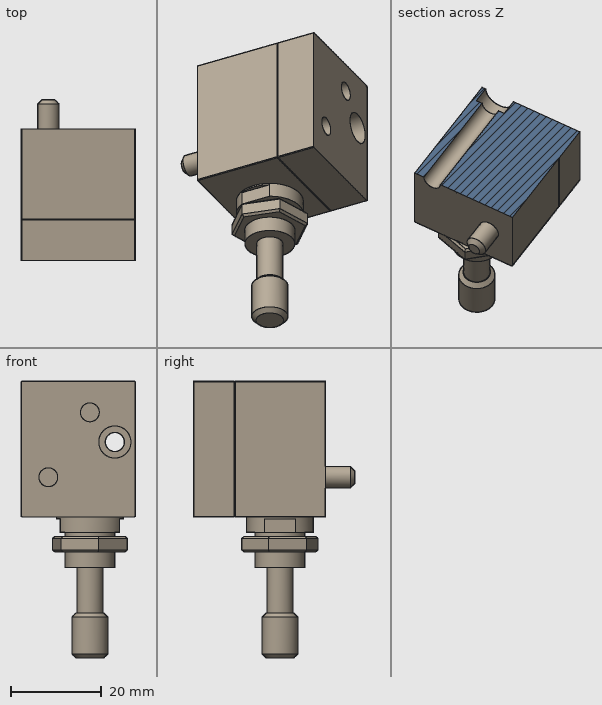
import cadquery as cq
import math


block_width = 25.2
block_depth = 29.05
block_height = 30.0
block_top = 61.15
block_bottom = block_top - block_height
block_left = -15.15
block_front = -19.0
block_back = block_front + block_depth
edge_chamfer = 0.2

groove_setback = 9.05
groove_depth = 0.1
groove_half_width = 0.1

hole_diameter = 4.15
blind_depth = 2.0
counterbore_diameter = 7.1
counterbore_depth = 4.0
upper_hole = (0.0, block_top - 6.9)
through_hole = (5.5, block_top - 13.45)
dowel_axis = (-9.2, block_top - 21.2)
dowel_diameter = 4.8
dowel_length = 6.5
dowel_chamfer = 1.0

collar_diameter = 14.8
collar_bottom = 27.75
flats_across = 13.1
flats_top = block_bottom - 0.35

shank_diameter = 11.0
shank_bottom = 20.0
stem_diameter = 5.8
head_diameter = 8.0
head_top = 10.0
head_chamfer = 1.0

nut_across_flats = 15.0
nut_bottom = 23.4
nut_thickness = 3.5
nut_bore = 11.2
nut_chamfer = 0.5
nut_turn = -17.0


def vertical_cylinder(diameter, bottom, top):
    """Cylinder on the plunger axis between two heights."""
    return cq.Workplane("XY").workplane(offset=bottom).circle(diameter / 2).extrude(top - bottom)


def bore(axis, diameter, depth):
    """Cylinder entering the front face at the (x, z) position of its axis."""
    x, z = axis
    return cq.Workplane(cq.Solid.makeCylinder(
        diameter / 2, depth, cq.Vector(x, block_front, z), cq.Vector(0, 1, 0)))


def make_groove():
    """Ring between the block outline and the V-groove cut into it, widest at the surface."""
    center_x = block_left + block_width / 2
    center_z = block_bottom + block_height / 2
    groove_y = block_front + groove_setback

    def half_core(direction):
        return (
            cq.Workplane("XZ", origin=(center_x, groove_y, center_z))
            .rect(block_width - 2 * groove_depth, block_height - 2 * groove_depth)
            .workplane(offset=-direction * groove_half_width)
            .rect(block_width, block_height)
            .loft(ruled=True)
        )

    slab = cq.Workplane("XY", origin=(center_x, groove_y, center_z)).box(
        block_width, 2 * groove_half_width, block_height)
    return slab.cut(half_core(1)).cut(half_core(-1))


def make_block():
    block = (
        cq.Workplane("XY", origin=(block_left, block_front, block_bottom))
        .box(block_width, block_depth, block_height, centered=False)
        .edges("|Y")
        .chamfer(edge_chamfer)
        .cut(make_groove())
    )
    for axis in (upper_hole, dowel_axis):
        block = block.cut(bore(axis, hole_diameter, blind_depth))
    block = block.cut(bore(through_hole, hole_diameter, block_depth))
    return block.cut(bore(through_hole, counterbore_diameter, counterbore_depth))


def make_dowel():
    x, z = dowel_axis
    return (
        cq.Workplane("XZ", origin=(x, block_back, z))
        .circle(dowel_diameter / 2)
        .extrude(-dowel_length)
        .faces(">Y")
        .chamfer(dowel_chamfer)
    )


def make_collar():
    collar = vertical_cylinder(collar_diameter, collar_bottom, block_bottom)
    flatted_zone = (
        cq.Workplane("XY")
        .workplane(offset=collar_bottom)
        .rect(flats_across, collar_diameter)
        .extrude(flats_top - collar_bottom)
    )
    rim = vertical_cylinder(collar_diameter, flats_top, block_bottom)
    return collar.intersect(flatted_zone).union(rim)


def make_plunger():
    head = vertical_cylinder(head_diameter, 0, head_top).faces("<Z or >Z").chamfer(head_chamfer)
    return head.union(vertical_cylinder(stem_diameter, head_top, shank_bottom))


def make_valve():
    return (
        make_block()
        .union(make_dowel())
        .union(make_collar())
        .union(vertical_cylinder(shank_diameter, shank_bottom, collar_bottom))
        .union(make_plunger())
    )


def make_nut():
    across_corners = nut_across_flats / math.cos(math.radians(30))
    return (
        cq.Workplane("XY")
        .workplane(offset=nut_bottom)
        .polygon(6, across_corners)
        .extrude(nut_thickness)
        .faces("<Z or >Z")
        .chamfer(nut_chamfer)
        .rotate((0, 0, 0), (0, 0, 1), nut_turn)
        .cut(vertical_cylinder(nut_bore, nut_bottom, nut_bottom + nut_thickness))
    )


valve = make_valve()
nut = make_nut()

result = cq.Compound.makeCompound([valve.val(), nut.val()])